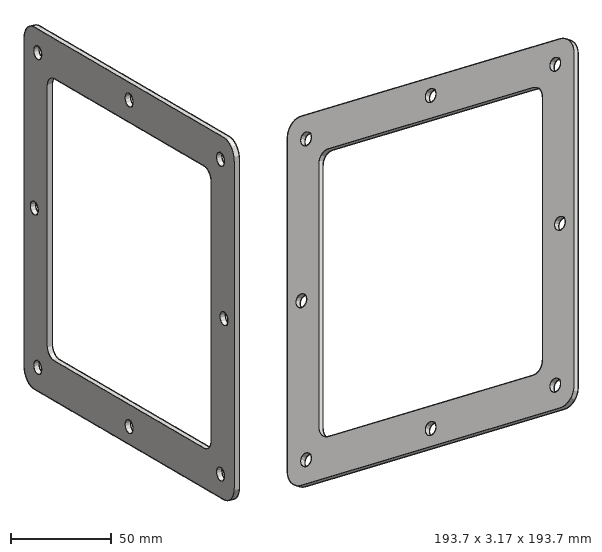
import cadquery as cq

plate_side = 193.675
plate_thickness = 3.175
outer_corner_radius = 9.525

frame_width = 21.43
window_side = plate_side - 2 * frame_width
window_corner_radius = 6.35

hole_diameter = 7.14
corner_hole_inset = 12.7
side_hole_inset = 9.525
corner_hole_offset = plate_side / 2 - corner_hole_inset
side_hole_offset = plate_side / 2 - side_hole_inset


def rounded_square_plate(side, corner_radius):
    """Square block centred on the origin, with its edges along Y rounded."""
    block = cq.Workplane("XY").box(side, plate_thickness, side)
    return block.edges("|Y").fillet(corner_radius)


def bolt_holes():
    """Cylinders along Y for the corner and mid-side bolt holes."""
    centres = []
    for sign in (-1, 1):
        centres.append((sign * corner_hole_offset, corner_hole_offset))
        centres.append((sign * corner_hole_offset, -corner_hole_offset))
        centres.append((sign * side_hole_offset, 0))
        centres.append((0, sign * side_hole_offset))
    sketch = cq.Workplane("XZ").pushPoints(centres).circle(hole_diameter / 2)
    return sketch.extrude(plate_thickness / 2, both=True)


plate = rounded_square_plate(plate_side, outer_corner_radius)
window = rounded_square_plate(window_side, window_corner_radius)
result = plate.cut(window).cut(bolt_holes())